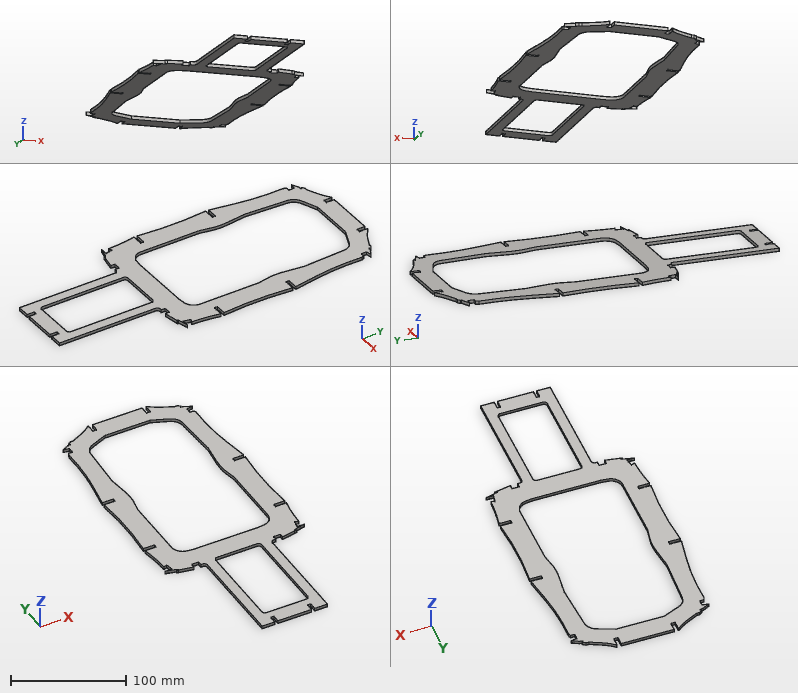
import cadquery as cq

LENGTH = 320
WIDTH = 140.0
THICKNESS = 3.0
TOP = LENGTH / 2
BOTTOM = -LENGTH / 2
SIDE = WIDTH / 2

CROWN_SLOT_INNER = 24.5
CROWN_SLOT_WIDTH = 4.0
CROWN_SLOT_DEPTH = 8.0
CROWN_TIP_WIDTH = 0.5
CROWN_HALF = CROWN_SLOT_INNER + CROWN_SLOT_WIDTH + CROWN_TIP_WIDTH

SIDE_SLOT_DEPTH = 11.0
SIDE_SLOT_WIDTH = THICKNESS
UPPER_SLOT_Y = 58.0
LOWER_SLOT_Y = -16.0
WAIST_HALF = 68.0

LOWER_EDGE = -58.2
LOWER_NOTCH_INNER = 37.0
LOWER_NOTCH_OUTER = 44.0
LOWER_NOTCH_DEPTH = 4.0

HANDLE_HALF = 32.3
HANDLE_WINDOW_HALF = 22.7
HANDLE_WINDOW_TOP = -56.0
HANDLE_WINDOW_BOTTOM = -145.0
HANDLE_RADIUS = 3.0
HANDLE_SLOT_CENTER = 18.2
HANDLE_SLOT_WIDTH = THICKNESS
HANDLE_SLOT_DEPTH = 7.5

WINDOW_TOP = 141.5
WINDOW_BOTTOM = -36.0
WINDOW_HALF = 47.7
WINDOW_NECK_HALF = 44.8


def mirrored(right_half):
    """Join a right-hand half to its reflection across the YZ plane."""
    return right_half.union(right_half.mirror("YZ"))


def block(x_min, x_max, y_min, y_max):
    """Rectangular block through the plate thickness."""
    return (
        cq.Workplane("XY")
        .box(x_max - x_min, y_max - y_min, THICKNESS, centered=False)
        .translate((x_min, y_min, 0))
    )


def frame_half():
    """Right half of the outer plate, without its rectangular slots."""
    outline = cq.Workplane("XY").moveTo(0, TOP).lineTo(CROWN_HALF, TOP)
    outline = (
        outline.threePointArc((34.2, 156.0), (41.3, 152.3))
        .lineTo(50.2, 148.0)
        .lineTo(52.8, 148.0)
        .lineTo(55.7, 146.2)
        .lineTo(54.5, 145.0)
        .lineTo(57.5, 144.3)
        .lineTo(64.0, 141.0)
        .lineTo(58.2, 140.0)
        .lineTo(58.2, 134.7)
        .lineTo(62.0, 134.7)
        .lineTo(63.0, 132.0)
    )
    waist_top = UPPER_SLOT_Y - SIDE_SLOT_WIDTH / 2
    waist_bottom = LOWER_SLOT_Y + SIDE_SLOT_WIDTH / 2
    outline = (
        outline.threePointArc((63.5, 105.3), (66.0, 84.0))
        .lineTo(SIDE, UPPER_SLOT_Y + SIDE_SLOT_WIDTH / 2)
        .lineTo(SIDE, waist_top)
        .threePointArc((WAIST_HALF, (waist_top + waist_bottom) / 2), (SIDE, waist_bottom))
        .lineTo(SIDE, LOWER_SLOT_Y - SIDE_SLOT_WIDTH / 2)
    )
    outline = (
        outline.threePointArc((68.0, -31.5), (67.0, -45.8))
        .lineTo(63.5, -44.5)
        .lineTo(62.0, -51.5)
        .lineTo(69.0, -51.5)
        .lineTo(58.5, -54.0)
        .lineTo(57.3, -55.0)
        .lineTo(59.5, -55.5)
        .lineTo(LOWER_NOTCH_OUTER, LOWER_EDGE)
    )
    outline = (
        outline.lineTo(HANDLE_HALF + HANDLE_RADIUS, LOWER_EDGE)
        .radiusArc((HANDLE_HALF, LOWER_EDGE - HANDLE_RADIUS), -HANDLE_RADIUS)
        .lineTo(HANDLE_HALF, BOTTOM)
        .lineTo(0, BOTTOM)
        .close()
    )
    return outline.extrude(THICKNESS)


def frame_window_half():
    """Right half of the large window: blunt top, pinched sides, round lower corners."""
    outline = (
        cq.Workplane("XY")
        .moveTo(0, WINDOW_TOP)
        .lineTo(22.5, WINDOW_TOP)
        .lineTo(38.0, 135.0)
        .threePointArc((43.0, 131.5), (45.5, 125.8))
        .lineTo(WINDOW_HALF, 82.5)
        .lineTo(45.5, 64.5)
        .threePointArc((WINDOW_NECK_HALF, 57.0), (45.0, 49.3))
        .lineTo(WINDOW_HALF, 35.5)
        .lineTo(WINDOW_HALF, -25.0)
        .threePointArc((44.5, -32.3), (37.0, -35.5))
        .lineTo(31.7, WINDOW_BOTTOM)
        .lineTo(0, WINDOW_BOTTOM)
        .close()
    )
    return outline.extrude(THICKNESS)


def handle_window():
    """Rectangular window in the handle with rounded corners."""
    window = block(-HANDLE_WINDOW_HALF, HANDLE_WINDOW_HALF, HANDLE_WINDOW_BOTTOM, HANDLE_WINDOW_TOP)
    return window.edges("|Z").fillet(HANDLE_RADIUS)


def right_slots():
    """Every rectangular slot on the right half."""
    return [
        block(CROWN_SLOT_INNER, CROWN_SLOT_INNER + CROWN_SLOT_WIDTH, TOP - CROWN_SLOT_DEPTH, TOP),
        block(LOWER_NOTCH_INNER, LOWER_NOTCH_OUTER, LOWER_EDGE, LOWER_EDGE + LOWER_NOTCH_DEPTH),
        block(
            HANDLE_SLOT_CENTER - HANDLE_SLOT_WIDTH / 2,
            HANDLE_SLOT_CENTER + HANDLE_SLOT_WIDTH / 2,
            BOTTOM,
            BOTTOM + HANDLE_SLOT_DEPTH,
        ),
    ] + [
        block(SIDE - SIDE_SLOT_DEPTH, SIDE, y - SIDE_SLOT_WIDTH / 2, y + SIDE_SLOT_WIDTH / 2)
        for y in (UPPER_SLOT_Y, LOWER_SLOT_Y)
    ]


half = frame_half().cut(frame_window_half())
for slot in right_slots():
    half = half.cut(slot)

result = mirrored(half).cut(handle_window())